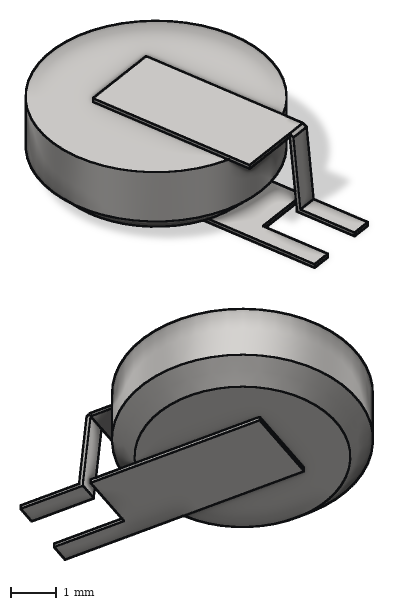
import cadquery as cq

cell_diameter = 5.8
cell_chamfer = 0.5
overall_height = 2.05
cell_height = 1.85

sheet = (overall_height - cell_height) / 2
overall_length = 8
tab_width = 2
tab_start = -1.01
tab_end = 3.31
prong_width = tab_width / 4
prong_end = overall_length - cell_diameter / 2
prong_offset = (tab_width - prong_width) / 2

bend_drop = 0.06
leg_lean = 0.19
leg_thickness = 0.1


def make_cell():
    """Disc with a chamfered lower rim."""
    disc = cq.Workplane("XY").circle(cell_diameter / 2).extrude(cell_height)
    return disc.faces("<Z").edges().chamfer(cell_chamfer)


def make_plate(bottom):
    """Flat rectangular part of a tab, with its underside at the given height."""
    return (
        cq.Workplane("XY", origin=(tab_start, 0, bottom))
        .rect(tab_end - tab_start, tab_width)
        .extrude(sheet)
        .translate(((tab_end - tab_start) / 2, 0, 0))
    )


def make_bottom_tab():
    """Flat plate with a narrow prong along its -Y edge."""
    prong = (
        cq.Workplane("XY", origin=((tab_end + prong_end) / 2, -prong_offset, -sheet))
        .rect(prong_end - tab_end, prong_width)
        .extrude(sheet)
    )
    return make_plate(-sheet).union(prong)


def make_top_tab():
    """Flat plate with a leg and foot bent down along its +Y edge."""
    foot_start = tab_end + leg_lean
    leg_and_foot = (
        cq.Workplane("XZ", origin=(0, prong_offset, 0))
        .moveTo(tab_end, cell_height)
        .lineTo(tab_end, cell_height + sheet)
        .lineTo(tab_end + leg_thickness, cell_height + sheet - bend_drop)
        .lineTo(foot_start + leg_thickness, 0)
        .lineTo(prong_end, 0)
        .lineTo(prong_end, -sheet)
        .lineTo(foot_start, -sheet)
        .lineTo(foot_start, 0)
        .close()
        .extrude(prong_width / 2, both=True)
    )
    return make_plate(cell_height).union(leg_and_foot)


cell = make_cell()
bottom_tab = make_bottom_tab()
top_tab = make_top_tab()

result = cq.Compound.makeCompound([cell.val(), bottom_tab.val(), top_tab.val()])